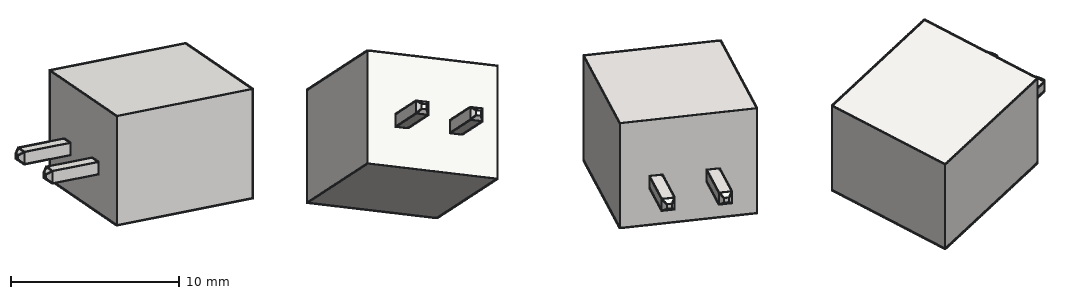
import cadquery as cq

housing_width = 8.4
housing_height = 7.0
overall_depth = 12.6

pin_length = 3.4
pin_side = 0.8
pin_pitch = 3.5
pin_pair_center_x = -0.24
pin_center_z = -0.63

tip_length = 0.29
tip_flat_side = 0.32

housing_depth = overall_depth - pin_length
shank_length = pin_length - tip_length


def make_housing():
    return cq.Workplane("XY").box(
        housing_width, housing_depth, housing_height, centered=(True, False, True)
    )


def make_pin(center_x):
    """Square shank ending in a truncated pyramid, pointing toward -Y."""
    front_face = cq.Workplane("XZ", origin=(center_x, 0, pin_center_z))
    shank = front_face.rect(pin_side, pin_side).extrude(shank_length)
    tip = (
        front_face.workplane(offset=shank_length)
        .rect(pin_side, pin_side)
        .workplane(offset=tip_length)
        .rect(tip_flat_side, tip_flat_side)
        .loft(ruled=True)
    )
    return shank.union(tip)


result = make_housing()
for side in (-1, 1):
    result = result.union(make_pin(pin_pair_center_x + side * pin_pitch / 2))